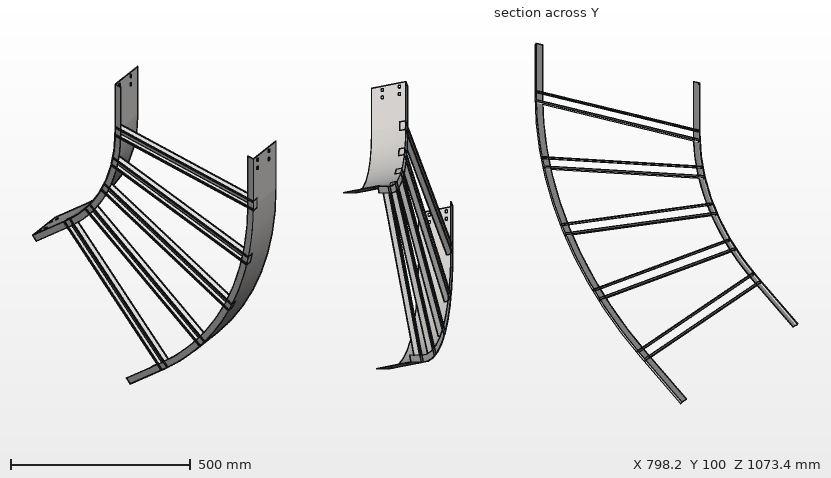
import cadquery as cq
import math


BEND_ANGLE = 45.0
OUTER_RADIUS = 1098.0
LADDER_WIDTH = 500.0
INNER_RADIUS = OUTER_RADIUS - LADDER_WIDTH
STRAIGHT = 174.0

RAIL_HEIGHT = 100.0
FLANGE_WIDTH = 20.0
SHEET = 1.5

RUNG_COUNT = 5
RUNG_WIDTH = 36.0
RUNG_DEPTH = 17.0
RUNG_LIP = 6.0

SLOT_ROWS = 2
SLOT_LENGTH = 12.0
SLOT_WIDTH = 6.0
SLOT_FROM_END = 15.0
SLOT_PITCH = 30.0
SLOT_HEIGHTS = (19.0, 69.0)


def turn(body, angle):
    """Turn a body about the bend axis, from the upper end toward the lower end."""
    return body.rotate((0, 0, 0), (0, 1, 0), angle)


def rail_path(radius):
    """Straight, arc, straight: the line followed by a rail's outside face."""
    half = math.radians(BEND_ANGLE / 2)
    full = math.radians(BEND_ANGLE)
    arc_end = (radius * math.cos(full), -radius * math.sin(full))
    return (
        cq.Workplane("XZ")
        .moveTo(radius, STRAIGHT)
        .lineTo(radius, 0)
        .threePointArc((radius * math.cos(half), -radius * math.sin(half)), arc_end)
        .lineTo(arc_end[0] - STRAIGHT * math.sin(full), arc_end[1] - STRAIGHT * math.cos(full))
    )


def rail(radius, side):
    """Side rail with its flange pointing along side (+1 outward from the bend centre, -1 toward it)."""
    section = (
        cq.Workplane("XY", origin=(radius, 0, STRAIGHT))
        .polyline([
            (0, 0),
            (side * FLANGE_WIDTH, 0),
            (side * FLANGE_WIDTH, SHEET),
            (side * SHEET, SHEET),
            (side * SHEET, RAIL_HEIGHT),
            (0, RAIL_HEIGHT),
        ])
        .close()
    )
    return section.sweep(rail_path(radius))


def rung():
    """Rung along X at the start of the bend, its ends buried in the rail webs."""
    start = INNER_RADIUS + SHEET / 2
    length = LADDER_WIDTH - SHEET
    front = SHEET
    back = front + RUNG_DEPTH
    half = RUNG_WIDTH / 2
    half_opening = half - RUNG_LIP
    return (
        cq.Workplane("YZ", origin=(start, 0, 0))
        .polyline([
            (front, half_opening),
            (front, half),
            (back, half),
            (back, -half),
            (front, -half),
            (front, -half_opening),
            (front + SHEET, -half_opening),
            (front + SHEET, SHEET - half),
            (back - SHEET, SHEET - half),
            (back - SHEET, half - SHEET),
            (front + SHEET, half - SHEET),
            (front + SHEET, half_opening),
        ])
        .close()
        .extrude(length)
    )


def slot_cutters(end_direction):
    """Slots through both rails at the end lying toward +Z (+1) or -Z (-1) of the bend."""
    first = STRAIGHT - SLOT_FROM_END
    centres = [
        (height, end_direction * (first - row * SLOT_PITCH))
        for height in SLOT_HEIGHTS
        for row in range(SLOT_ROWS)
    ]
    return (
        cq.Workplane("YZ", origin=(INNER_RADIUS - SHEET, 0, 0))
        .pushPoints(centres)
        .slot2D(SLOT_LENGTH, SLOT_WIDTH, 90)
        .extrude(LADDER_WIDTH + 2 * SHEET)
    )


result = rail(INNER_RADIUS, 1).union(rail(OUTER_RADIUS, -1))

for index in range(RUNG_COUNT):
    result = result.union(turn(rung(), BEND_ANGLE * index / (RUNG_COUNT - 1)))

result = result.cut(slot_cutters(1))
result = result.cut(turn(slot_cutters(-1), BEND_ANGLE))